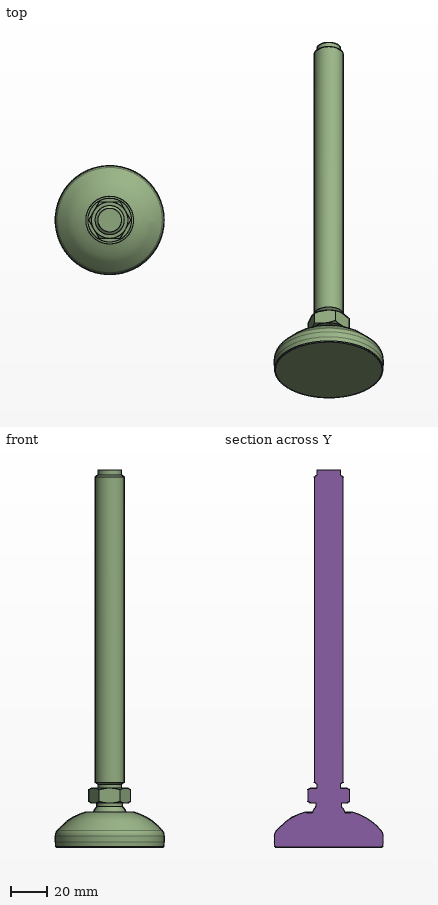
import cadquery as cq
import math

total_height = 207.2

foot_radius = 59.91 / 2
base_chamfer = 0.5
base_height = 3.0
base_draft_angle = 4.5
wall_top = 6.2
shoulder_radius = 28.9
shoulder_height = 9.2
dome_mid_radius = 22.0
dome_mid_height = 15.4
rim_radius = 13.1
foot_height = 19.4
recess_radius = 12.0
recess_depth = 0.3
recess_floor = foot_height - recess_depth

ball_radius = 18.32 / 2
neck_radius = 14.3 / 2
ball_top = 22.3
ball_mid_radius = 8.4
ball_mid_height = 20.7

hex_sides = 6
hex_across_flats = 20.0
hex_bottom = 24.3
hex_height = 8.2
hex_chamfer_angle = 30.0
hex_top = hex_bottom + hex_height

rod_radius = 16.0 / 2
relief_radius = 13.0 / 2
relief_top = 34.6
end_pilot_length = 2.7
rod_chamfer = 1.1


def build_foot():
    """Revolve the foot profile: base, wall, rounded shoulder, dome and recess."""
    base_draft = (base_height - base_chamfer) * math.tan(math.radians(base_draft_angle))
    base_radius = foot_radius - base_draft
    return (
        cq.Workplane("XZ")
        .lineTo(base_radius - base_chamfer, 0)
        .lineTo(base_radius, base_chamfer)
        .lineTo(foot_radius, base_height)
        .lineTo(foot_radius, wall_top)
        .tangentArcPoint((shoulder_radius, shoulder_height), relative=False)
        .threePointArc((dome_mid_radius, dome_mid_height), (rim_radius, foot_height))
        .lineTo(recess_radius, foot_height)
        .lineTo(recess_radius, recess_floor)
        .lineTo(0, recess_floor)
        .close()
        .revolve(360, (0, 0), (0, 1))
    )


def build_stem():
    """Revolve the ball neck, the reliefs and the rod about the Z axis."""
    pilot_start = total_height - end_pilot_length
    return (
        cq.Workplane("XZ")
        .moveTo(0, recess_floor)
        .lineTo(ball_radius, recess_floor)
        .threePointArc((ball_mid_radius, ball_mid_height), (neck_radius, ball_top))
        .lineTo(neck_radius, hex_bottom)
        .lineTo(relief_radius, hex_bottom)
        .lineTo(relief_radius, relief_top)
        .lineTo(rod_radius, relief_top + rod_chamfer)
        .lineTo(rod_radius, pilot_start - rod_chamfer)
        .lineTo(relief_radius, pilot_start)
        .lineTo(relief_radius, total_height)
        .lineTo(0, total_height)
        .close()
        .revolve(360, (0, 0), (0, 1))
    )


def build_hexagon():
    """Hexagon with two flats facing +Y and -Y and turned corners at both ends."""
    flat_radius = hex_across_flats / 2
    corner_radius = flat_radius / math.cos(math.pi / hex_sides)
    corner_drop = (corner_radius - flat_radius) * math.tan(math.radians(hex_chamfer_angle))
    prism = (
        cq.Workplane("XY", origin=(0, 0, hex_bottom))
        .polygon(hex_sides, 2 * corner_radius)
        .extrude(hex_height)
    )
    turned_envelope = (
        cq.Workplane("XZ")
        .moveTo(0, hex_bottom)
        .lineTo(flat_radius, hex_bottom)
        .lineTo(corner_radius, hex_bottom + corner_drop)
        .lineTo(corner_radius, hex_top - corner_drop)
        .lineTo(flat_radius, hex_top)
        .lineTo(0, hex_top)
        .close()
        .revolve(360, (0, 0), (0, 1))
    )
    return prism.intersect(turned_envelope)


result = build_foot().union(build_stem()).union(build_hexagon())